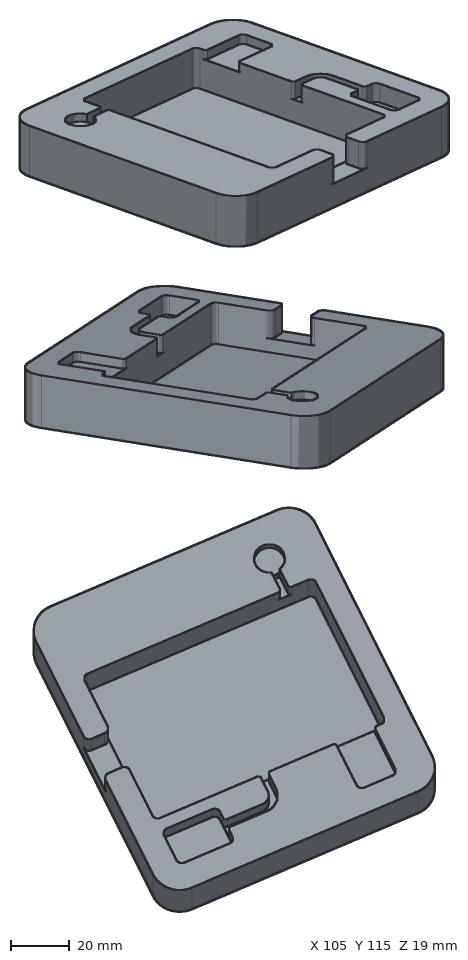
import cadquery as cq
import math

BODY_X = 105.0
BODY_Y = 115.0
BODY_Z = 19.0
BODY_CORNER_R = 10.0

RIM = 9.0
POCKET_CORNER_R = 2.0
MOUTH_R = 1.0

POCKET_X = BODY_X - 2 * RIM
POCKET_Y = 59.0
POCKET_DEPTH = 15.0

BAY_X = 14.5
BAY_CENTER_X = -31.75
BAY_BACK_Y = BODY_Y / 2 - RIM
BAY_DEPTH = 3.5

CELL_X = 21.0
CELL_Y = 14.0
CELL_CENTER_X = 32.5
CELL_CENTER_Y = 41.0
CELL_DEPTH = 7.0

CHANNEL_WIDTH = 3.0
CHANNEL_DEPTH = 6.5

BENT_CHANNEL_X = 2.5
BENT_CHANNEL_Y = CELL_CENTER_Y
BEND_CENTERLINE_R = 5.0

RECESS_DIAMETER = 10.5
RECESS_X = -32.75
RECESS_Y = -42.25
RECESS_DEPTH = 3.0

NOTCH_Y = 14.0
NOTCH_DEPTH = 10.0
NOTCH_EDGE_R = 2.0

POCKET_BACK = POCKET_Y / 2
POCKET_FRONT = -POCKET_Y / 2
POCKET_RIGHT = POCKET_X / 2
BODY_RIGHT = BODY_X / 2
CELL_LEFT = CELL_CENTER_X - CELL_X / 2

TOWARD_BACK = 0
TOWARD_LEFT = 90
TOWARD_FRONT = 180
TOWARD_RIGHT = -90

OVERLAP = 0.5


def top_plane():
    return cq.Workplane("XY", origin=(0, 0, BODY_Z))


def box_cut(x_min, x_max, y_min, y_max, depth):
    """Straight-walled cutter reaching down from the top face."""
    center = ((x_min + x_max) / 2, (y_min + y_max) / 2)
    return top_plane().center(*center).rect(x_max - x_min, y_max - y_min).extrude(-depth)


def rounded_pocket(size_x, size_y, center_x, center_y, depth):
    """Cutter for a rectangular pocket with rounded upright corners."""
    block = top_plane().center(center_x, center_y).rect(size_x, size_y).extrude(-depth)
    return block.edges("|Z").fillet(POCKET_CORNER_R)


def rounded_mouth(x, y, direction, width, radius, depth):
    """Cutter that rounds both upright edges where an opening leaves a wall at (x, y).

    The direction is the angle from +Y in which the opening runs into the wall.
    """
    half = width / 2
    flare = half + radius
    mid = radius * (1 - math.sqrt(0.5))
    mouth = (
        top_plane()
        .moveTo(-flare, -OVERLAP)
        .lineTo(-flare, 0)
        .threePointArc((-half - mid, mid), (-half, radius))
        .lineTo(half, radius)
        .threePointArc((half + mid, mid), (flare, 0))
        .lineTo(flare, -OVERLAP)
        .close()
        .extrude(-depth)
    )
    return mouth.rotate((0, 0, 0), (0, 0, 1), direction).translate((x, y, 0))


def make_body():
    block = cq.Workplane("XY").rect(BODY_X, BODY_Y).extrude(BODY_Z)
    return block.edges("|Z").fillet(BODY_CORNER_R)


def cut_main_pocket(body):
    return body.cut(rounded_pocket(POCKET_X, POCKET_Y, 0, 0, POCKET_DEPTH))


def cut_bay(body):
    left = BAY_CENTER_X - BAY_X / 2
    bay = box_cut(left, left + BAY_X, POCKET_BACK - OVERLAP, BAY_BACK_Y, BAY_DEPTH)
    bay = bay.edges("|Z and >Y").fillet(POCKET_CORNER_R)
    mouth = rounded_mouth(BAY_CENTER_X, POCKET_BACK, TOWARD_BACK, BAY_X, MOUTH_R, BAY_DEPTH)
    return body.cut(bay).cut(mouth)


def cut_cell(body):
    return body.cut(rounded_pocket(CELL_X, CELL_Y, CELL_CENTER_X, CELL_CENTER_Y, CELL_DEPTH))


def cut_bent_channel(body):
    half = CHANNEL_WIDTH / 2
    bend_outer_r = BEND_CENTERLINE_R + half
    bend_inner_r = BEND_CENTERLINE_R - half
    start_y = POCKET_BACK - OVERLAP
    end_x = CELL_LEFT + OVERLAP
    left = BENT_CHANNEL_X - half
    right = BENT_CHANNEL_X + half
    low = BENT_CHANNEL_Y - half
    high = BENT_CHANNEL_Y + half
    bend_x = left + bend_outer_r
    bend_y = high - bend_outer_r
    outer_mid = bend_outer_r * math.sqrt(0.5)
    inner_mid = bend_inner_r * math.sqrt(0.5)
    channel = (
        top_plane()
        .moveTo(left, start_y)
        .lineTo(left, bend_y)
        .threePointArc((bend_x - outer_mid, bend_y + outer_mid), (bend_x, high))
        .lineTo(end_x, high)
        .lineTo(end_x, low)
        .lineTo(bend_x, low)
        .threePointArc((bend_x - inner_mid, bend_y + inner_mid), (right, bend_y))
        .lineTo(right, start_y)
        .close()
        .extrude(-CHANNEL_DEPTH)
    )
    mouth_size = (CHANNEL_WIDTH, MOUTH_R, CHANNEL_DEPTH)
    pocket_mouth = rounded_mouth(BENT_CHANNEL_X, POCKET_BACK, TOWARD_BACK, *mouth_size)
    cell_mouth = rounded_mouth(CELL_LEFT, BENT_CHANNEL_Y, TOWARD_LEFT, *mouth_size)
    return body.cut(channel).cut(pocket_mouth).cut(cell_mouth)


def round_recess(depth):
    return top_plane().center(RECESS_X, RECESS_Y).circle(RECESS_DIAMETER / 2).extrude(-depth)


def cut_round_recess(body):
    return body.cut(round_recess(RECESS_DEPTH))


def cut_straight_channel(body):
    """Cut the channel up to the rim of the round recess, leaving the recess floor whole."""
    left = RECESS_X - CHANNEL_WIDTH / 2
    channel = box_cut(left, left + CHANNEL_WIDTH, RECESS_Y, POCKET_FRONT + OVERLAP, CHANNEL_DEPTH)
    channel = channel.cut(round_recess(CHANNEL_DEPTH))
    mouth = rounded_mouth(RECESS_X, POCKET_FRONT, TOWARD_FRONT, CHANNEL_WIDTH, MOUTH_R, CHANNEL_DEPTH)
    return body.cut(channel).cut(mouth)


def cut_notch(body):
    notch = box_cut(POCKET_RIGHT - OVERLAP, BODY_RIGHT + OVERLAP, -NOTCH_Y / 2, NOTCH_Y / 2, NOTCH_DEPTH)
    edge_size = (NOTCH_Y, NOTCH_EDGE_R, NOTCH_DEPTH)
    inner_edges = rounded_mouth(POCKET_RIGHT, 0, TOWARD_RIGHT, *edge_size)
    outer_edges = rounded_mouth(BODY_RIGHT, 0, TOWARD_LEFT, *edge_size)
    return body.cut(notch).cut(inner_edges).cut(outer_edges)


result = make_body()
result = cut_main_pocket(result)
result = cut_bay(result)
result = cut_cell(result)
result = cut_bent_channel(result)
result = cut_straight_channel(result)
result = cut_round_recess(result)
result = cut_notch(result)